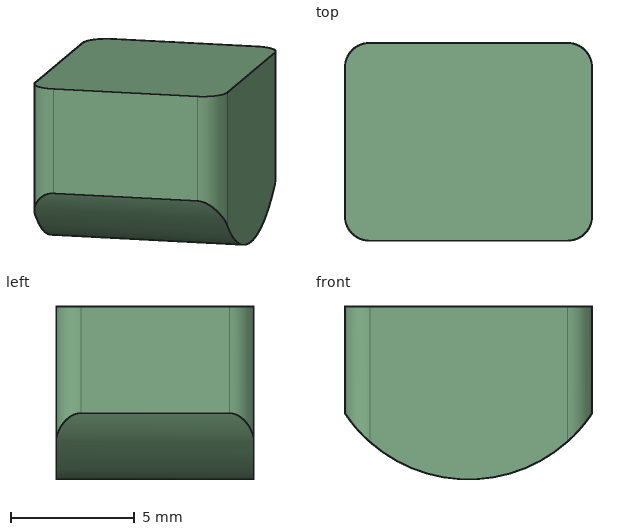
import cadquery as cq
import math

length = 10.0
width = 8.0
height = 7.0
corner_radius = 1.0
underside_radius = 6.0

half_length = length / 2
underside_rise = underside_radius - math.sqrt(underside_radius**2 - half_length**2)


def rounded_bottom_block():
    """Block with a convex cylindrical underside, centred on the Y axis."""
    return (
        cq.Workplane("XZ")
        .moveTo(-half_length, height)
        .lineTo(-half_length, underside_rise)
        .threePointArc((0, 0), (half_length, underside_rise))
        .lineTo(half_length, height)
        .close()
        .extrude(width / 2, both=True)
    )


result = rounded_bottom_block().edges("|Z").fillet(corner_radius)